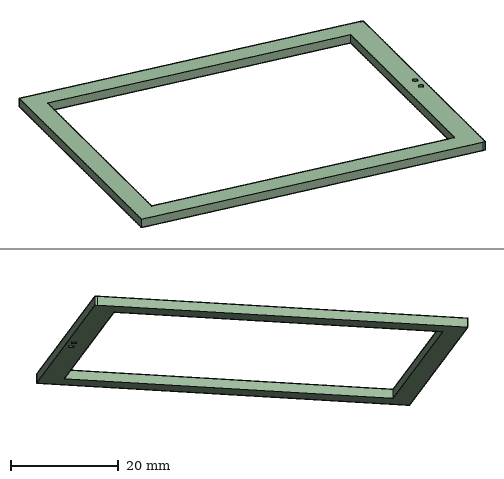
import cadquery as cq

width = 52.7
length = 70.75
thickness = 1.8

rail_width = 3.95
hole_rail_width = 4.45

hole_diameter = 1.0
hole_spacing = 2.55
hole_offset = 0.15
hole_edge_distance = 1.35

step_depth = 0.1
step_length = 0.5


def make_frame():
    """Flat plate, centred in X and Y, with a rectangular window."""
    window_width = width - 2 * rail_width
    window_length = length - rail_width - hole_rail_width
    window_center_y = (rail_width - hole_rail_width) / 2
    plate = cq.Workplane("XY").box(width, length, thickness, centered=(True, True, False))
    return (
        plate.faces(">Z")
        .workplane(origin=(0, window_center_y, 0))
        .rect(window_width, window_length)
        .cutThruAll()
    )


def drill_holes(frame):
    """Two through holes side by side near the +Y edge."""
    hole_y = length / 2 - hole_edge_distance
    return (
        frame.faces(">Z")
        .workplane(origin=(hole_offset, hole_y, 0))
        .pushPoints([(-hole_spacing / 2, 0), (hole_spacing / 2, 0)])
        .hole(hole_diameter)
    )


def cut_end_steps(frame):
    """Make the +Y end slightly narrower than the rest, over the full thickness."""
    step_y = (length - step_length) / 2
    for side in (-1, 1):
        step_x = side * (width - step_depth) / 2
        step = (
            cq.Workplane("XY")
            .center(step_x, step_y)
            .rect(step_depth, step_length)
            .extrude(thickness)
        )
        frame = frame.cut(step)
    return frame


result = cut_end_steps(drill_holes(make_frame()))